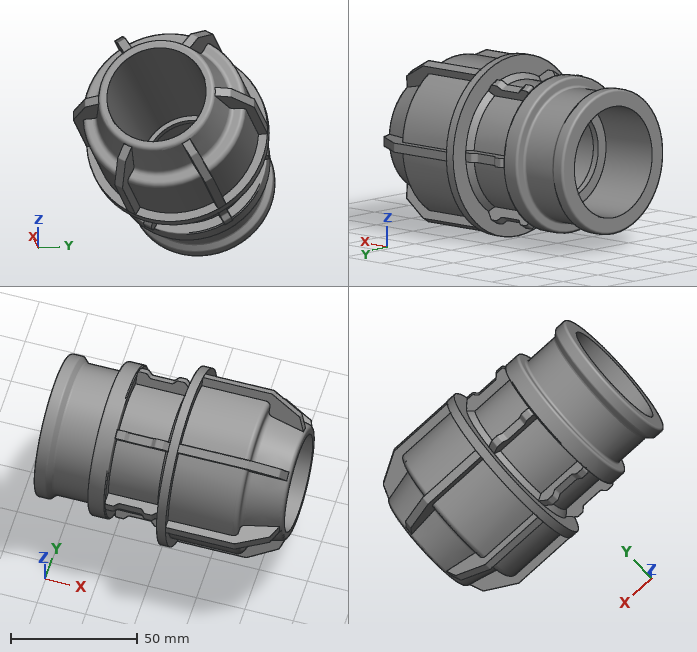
import cadquery as cq
length = 101.0
match_tolerance = 0.01

lip_radius = 58.3 / 2
groove_radius = 53.8 / 2
lip_corner_x = 5.0
groove_start_x = 7.4
shoulder_radius = 62.8 / 2
shoulder_start_x = 22.8
shoulder_end_x = 30.2
shoulder_back_round = 0.5
edge_round = 1.0

flange_radius = 73.0 / 2
flange_start_x = 52.9
flange_end_x = 56.7
flare_length = 2.3
flare_start_x = flange_start_x - flare_length
flare_radius = groove_radius + flare_length

nut_radius = 32.9
nut_end_x = 85.1
nose_base_radius = 27.2
nose_tip_radius = 23.3
nut_round = 2.0
nose_round = 1.7

front_bore_radius = 44.8 / 2
front_bore_depth = 25.2
web_radius = 36.0 / 2
web_thickness = 2.7
web_end_x = front_bore_depth + web_thickness
rear_bore_radius = 40.0 / 2

rib_count = 6
rib_width = 3.6
neck_rib_root_radius = 25.2
nut_rib_root_radius = 22.2
rib_bend_round = 1.0
neck_rib_crest = 32.4
neck_rib_valley = 30.6
valley_start_x = 35.8
valley_end_x = 44.9
valley_flank = neck_rib_crest - neck_rib_valley
neck_rib_crest_end_x = flange_start_x + flare_radius - neck_rib_crest
nut_rib_tip_x = 97.7
nut_rib_tip_radius = 29.4
nut_rib_end_x = 100.5


def turned(points):
    """Revolve a list of (x, radius) points about the X axis."""
    closed = [(points[0][0], 0)] + points + [(points[-1][0], 0)]
    return cq.Workplane("XY").polyline(closed).close().revolve(360, (0, 0, 0), (1, 0, 0))


def bore(start_x, end_x, radius):
    """Solid cylinder on the X axis, used as a cutter."""
    return turned([(start_x, radius), (end_x, radius)])


def round_circle(body, x, radius, size):
    """Fillet the circular edge that lies at x with the given radius."""
    reach = match_tolerance
    lower = (x - reach, -radius - reach, -radius - reach)
    upper = (x + reach, radius + reach, radius + reach)
    ring = cq.selectors.BoxSelector(lower, upper, boundingbox=True)
    edges = [e for e in body.edges(ring).vals() if abs(e.BoundingBox().zmax - radius) < reach]
    return body.newObject(edges).fillet(size)


def turned_body():
    body = turned([
        (0, lip_radius),
        (lip_corner_x, lip_radius),
        (groove_start_x, groove_radius),
        (shoulder_start_x, groove_radius),
        (shoulder_start_x, shoulder_radius),
        (shoulder_end_x, shoulder_radius),
        (shoulder_end_x, groove_radius),
        (flare_start_x, groove_radius),
        (flange_start_x, flare_radius),
        (flange_start_x, flange_radius),
        (flange_end_x, flange_radius),
        (flange_end_x, nut_radius),
        (nut_end_x, nut_radius),
        (nut_end_x, nose_base_radius),
        (length, nose_tip_radius),
    ])
    rounds = [
        (0, lip_radius, edge_round),
        (lip_corner_x, lip_radius, edge_round),
        (groove_start_x, groove_radius, edge_round),
        (shoulder_start_x, groove_radius, edge_round),
        (shoulder_start_x, shoulder_radius, edge_round),
        (shoulder_end_x, shoulder_radius, shoulder_back_round),
        (nut_end_x, nut_radius, nut_round),
        (nut_end_x, nose_base_radius, nut_round),
        (length, nose_tip_radius, nose_round),
    ]
    for x, radius, size in rounds:
        body = round_circle(body, x, radius, size)
    return body


def rib_plate(outline, bends):
    """Extrude an (x, radius) outline to the rib width and round its outer corners."""
    plate = cq.Workplane("XY").polyline(outline).close().extrude(rib_width / 2, both=True)
    corners = [
        e for e in plate.edges("|Z").vals()
        if any(abs(e.Center().x - x) + abs(e.Center().y - r) < match_tolerance for x, r in bends)
    ]
    return plate.newObject(corners).fillet(rib_bend_round)


def neck_rib():
    bends = [
        (shoulder_end_x, neck_rib_crest),
        (valley_start_x - valley_flank, neck_rib_crest),
        (valley_start_x, neck_rib_valley),
        (valley_end_x, neck_rib_valley),
        (valley_end_x + valley_flank, neck_rib_crest),
        (neck_rib_crest_end_x, neck_rib_crest),
    ]
    ends = [
        (flange_start_x, flare_radius),
        (flange_start_x, neck_rib_root_radius),
        (shoulder_end_x, neck_rib_root_radius),
    ]
    return rib_plate(bends + ends, bends)


def nut_rib():
    bends = [
        (nut_end_x, flange_radius),
        (nut_rib_tip_x, nut_rib_tip_radius),
    ]
    ends = [
        (nut_rib_end_x, nut_rib_root_radius),
        (flange_end_x, nut_rib_root_radius),
        (flange_end_x, flange_radius),
    ]
    return rib_plate(bends + ends, bends)


result = turned_body()

for rib in (neck_rib(), nut_rib()):
    for i in range(rib_count):
        result = result.union(rib.rotate((0, 0, 0), (1, 0, 0), i * 360 / rib_count))

result = result.cut(bore(0, front_bore_depth, front_bore_radius))
result = result.cut(bore(front_bore_depth, web_end_x, web_radius))
result = result.cut(bore(web_end_x, length, rear_bore_radius))